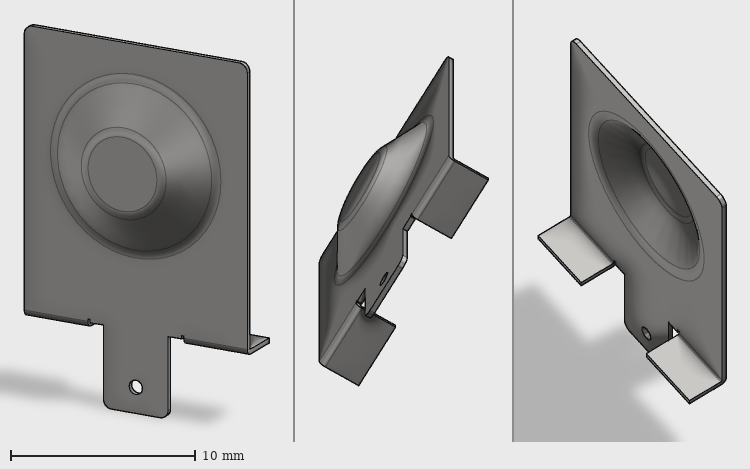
import cadquery as cq
import math

sheet = 0.3
height = 21.2
width = 13.8
corner_radius = 0.5

flap_bottom = 4.43
web_bottom = 4.75
relief_top = 4.95
relief_width = 0.13

flap_gap = 5.94
flap_reach = 2.5
bend_inner_radius = 0.08
bend_outer_radius = bend_inner_radius + sheet
flap_width = (width - flap_gap) / 2

tab_width = 4.0
hole_diameter = 0.8
hole_height = 1.5

dome_center_height = 14.2
dome_base_radius = 5.0
dome_depth = 1.5
dome_fillet = 1.0
dome_slope = math.radians(30)
half_slope = math.tan(dome_slope / 2)


def front_box(x_size, bottom, top):
    """Block through the sheet thickness, centred on X."""
    block = cq.Workplane("XY").box(x_size, sheet, top - bottom, centered=(True, False, False))
    return block.translate((0, 0, bottom))


def make_plate():
    """Flat plate ending where the flap bends begin, with its web and tab."""
    bend_start = flap_bottom + bend_outer_radius
    plate = front_box(width, bend_start, height).edges("|Y and >Z").fillet(corner_radius)
    tab = front_box(tab_width, 0, bend_start).edges("|Y and <Z").fillet(corner_radius)
    web = front_box(flap_gap, web_bottom, bend_start)
    return plate.union(web).union(tab)


def make_flap(x_start):
    """Flap bent through a right angle from the lower edge of the plate."""
    diagonal = math.sqrt(0.5)
    bend_y = bend_outer_radius
    bend_z = flap_bottom + bend_outer_radius
    outer_mid = (bend_y - bend_outer_radius * diagonal, bend_z - bend_outer_radius * diagonal)
    inner_mid = (bend_y - bend_inner_radius * diagonal, bend_z - bend_inner_radius * diagonal)
    return (
        cq.Workplane("YZ", origin=(x_start, 0, 0))
        .moveTo(0, bend_z)
        .threePointArc(outer_mid, (bend_y, flap_bottom))
        .lineTo(flap_reach, flap_bottom)
        .lineTo(flap_reach, flap_bottom + sheet)
        .lineTo(bend_y, flap_bottom + sheet)
        .threePointArc(inner_mid, (sheet, bend_z))
        .close()
        .extrude(flap_width)
    )


def make_relief(side):
    """Narrow slit beside a flap that frees it from the web."""
    slit = front_box(relief_width, flap_bottom, relief_top)
    return slit.translate((side * (flap_gap - relief_width) / 2, 0, 0))


def make_dome(base_radius, base_y, rim_fillet, crown_fillet):
    """Solid cone frustum pointing to -Y, blended into the flats at its rim and crown."""
    crown_radius = base_radius - dome_depth / math.tan(dome_slope)
    crown_y = base_y - dome_depth
    rim_setback = rim_fillet * half_slope
    crown_setback = crown_fillet * half_slope
    along_r = math.cos(dome_slope)
    along_y = math.sin(dome_slope)
    mid_r = math.sin(dome_slope / 2)
    mid_y = 1 - math.cos(dome_slope / 2)
    rim_edge = base_radius + rim_setback
    crown_edge = crown_radius - crown_setback
    return (
        cq.Workplane("XY")
        .moveTo(0, base_y)
        .lineTo(rim_edge, base_y)
        .threePointArc(
            (rim_edge - rim_fillet * mid_r, base_y - rim_fillet * mid_y),
            (base_radius - rim_setback * along_r, base_y - rim_setback * along_y),
        )
        .lineTo(crown_radius + crown_setback * along_r, crown_y + crown_setback * along_y)
        .threePointArc(
            (crown_edge + crown_fillet * mid_r, crown_y + crown_fillet * mid_y),
            (crown_edge, crown_y),
        )
        .lineTo(0, crown_y)
        .close()
        .revolve(360, (0, 0, 0), (0, 1, 0))
        .translate((0, 0, dome_center_height))
    )


dome_front = make_dome(dome_base_radius, 0, dome_fillet, dome_fillet)

dome_hollow = make_dome(
    dome_base_radius - sheet * half_slope,
    sheet,
    dome_fillet + sheet,
    dome_fillet - sheet,
)

hole = (
    cq.Workplane("XZ", origin=(0, 0, hole_height))
    .circle(hole_diameter / 2)
    .extrude(-sheet)
)

result = make_plate().union(dome_front).cut(dome_hollow).cut(hole)
for flap_start in (-width / 2, flap_gap / 2):
    result = result.union(make_flap(flap_start))
for side in (-1, 1):
    result = result.cut(make_relief(side))